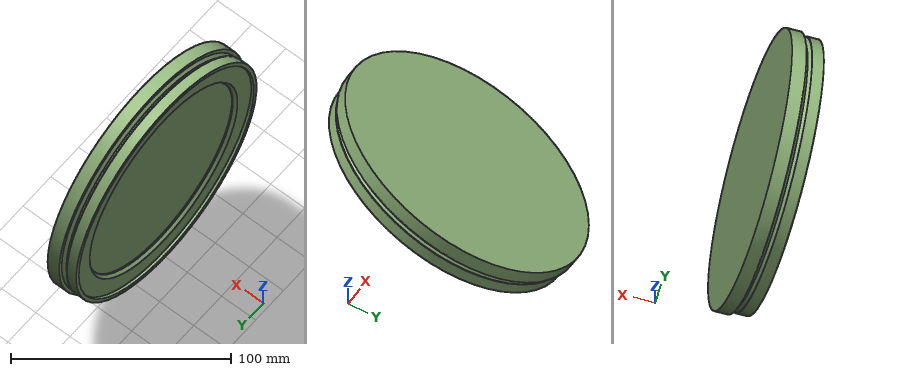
import cadquery as cq

thickness = 15.5
flange_radius = 66.5
front_radius = 65.0

groove_start = 5.6
groove_end = 8.8
groove_edge_radius = 64.6
groove_bottom_radius = 63.3

rim_inner_radius = 63.0
rim_recess_depth = 1.6
pocket_mouth_radius = 53.2
pocket_radius = 52.0
pocket_chamfer_depth = 1.7
pocket_depth = 2.4

groove_middle = (groove_start + groove_end) / 2
chamfer_end = rim_recess_depth + pocket_chamfer_depth
pocket_floor = rim_recess_depth + pocket_depth

half_section = (
    cq.Workplane("XY")
    .moveTo(pocket_floor, 0)
    .lineTo(pocket_floor, pocket_radius)
    .lineTo(chamfer_end, pocket_radius)
    .lineTo(rim_recess_depth, pocket_mouth_radius)
    .lineTo(rim_recess_depth, rim_inner_radius)
    .lineTo(0, rim_inner_radius)
    .lineTo(0, front_radius)
    .lineTo(groove_start, front_radius)
    .lineTo(groove_start, groove_edge_radius)
    .lineTo(groove_middle, groove_bottom_radius)
    .lineTo(groove_end, groove_edge_radius)
    .lineTo(groove_end, flange_radius)
    .lineTo(thickness, flange_radius)
    .lineTo(thickness, 0)
    .close()
)

result = half_section.revolve(360, (0, 0, 0), (1, 0, 0))